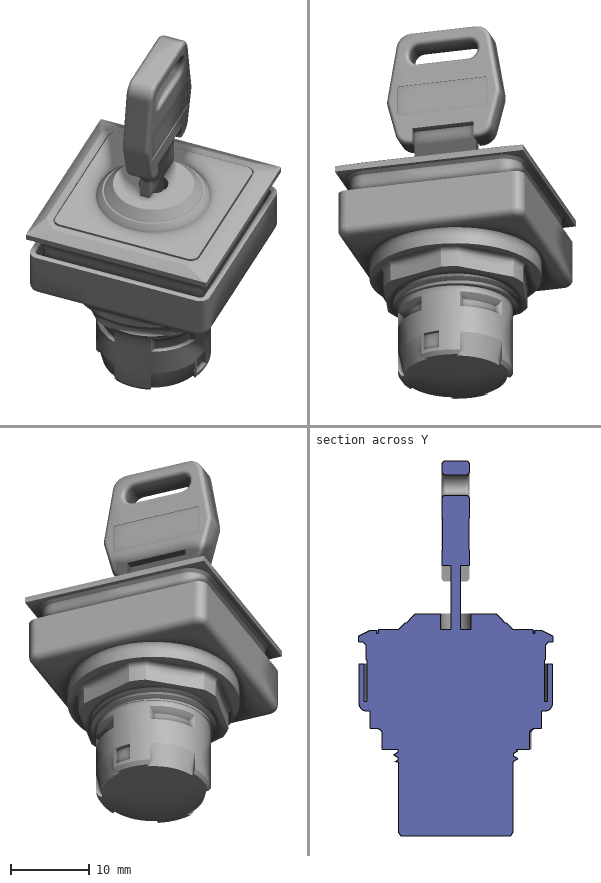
import cadquery as cq
import math

LOCK_TOP_Z = 28.4
LOCK_STEP_Z = 27.2
PANEL_TOP_Z = 26.4
BEZEL_TOP_Z = 26.25
PANEL_GROOVE_Z = 25.85
BEZEL_EDGE_Z = 25.53
BEZEL_BOTTOM_Z = 24.75
NECK_TOP_Z = 24.38
NECK_STEP_Z = 22.45
CUP_TOP_Z = 22.05
CUP_FLOOR_Z = 17.25
CUP_BOTTOM_Z = 15.95
FLANGE_BOTTOM_Z = 13.7
NUT_BOTTOM_Z = 11.05
KEY_TOP_Z = 47.9

BODY_RADIUS = 7.35
BODY_CHAMFER_HEIGHT = 0.55
BODY_CHAMFER_DEPTH = 0.35
CUT_CLEARANCE = 0.5
DIAGONALS = (45, 135, 225, 315)
POCKET_WIDTH = 6.15
WINDOW_FLOOR_WIDTH = 4.8
WINDOW_FLOOR_RADIUS = 6.7
WINDOW_BOTTOM_Z = 6.6
WINDOW_TOP_Z = 8.6
WINDOW_SLOPE_HEIGHT = 0.75
RAMP_TOP_Z = 3.0
RAMP_BOTTOM_RADIUS = 6.55
NOTCH_WIDTH = 2.2
NOTCH_CENTER_OFFSET = 1.2
NOTCH_BOTTOM_Z = 1.0
NOTCH_TOP_Z = 3.3
NOTCH_FLOOR_RADIUS = 6.7

THREAD_RADIUS = 16.0 / 2
THREAD_CORE_RADIUS = 7.4
THREAD_PITCH = 1.0
THREAD_BOTTOM_Z = 9.45
THREAD_TURNS = 3
THREAD_START_Z = 8.4
THREAD_RIDGE_HEIGHT = 0.75
THREAD_OVERLAP = 0.1

FLANGE_RADIUS = 22.0 / 2
NUT_CORNER_RADIUS = 19.5 / 2
NUT_ACROSS_FLATS = 17.85
NUT_TURN = 11.4
NUT_FILLET = 0.57

CUP_SIDE = 24.7
CUP_CORNER_RADIUS = 1.35
CUP_BOTTOM_FILLET = 1.0
CUP_WALL = 0.7
NECK_SIDE = 22.9
NECK_CORNER_RADIUS = 2.5
NECK_STEP = 0.1
NECK_FLARE = 0.4
BEZEL_SIDE = 24.9
BEZEL_TOP_SIDE = 22.05
BEZEL_TOP_CORNER_CUT = 1.8
BEZEL_EDGE_CORNER_CUT = 0.15
PANEL_SIDE = 19.75
PANEL_CORNER_RADIUS = 1.05
PANEL_GROOVE_WIDTH = 0.2

LOCK_BASE_RADIUS = BODY_RADIUS
LOCK_STEP_OUTER_RADIUS = 6.5
LOCK_STEP_INNER_RADIUS = 12.65 / 2
LOCK_TOP_RADIUS = 5.15
KEYHOLE_DIAMETER = 3.8
KEYHOLE_FLOOR_Z = PANEL_TOP_Z

KEY_Y = 1.2
KEY_THICKNESS = 3.6
KEY_BOTTOM_Z = 32.4
KEY_WAIST_Z = 38.5
KEY_END_WIDTH = 11.9
KEY_WAIST_WIDTH = 15.05
KEY_CORNER_RADIUS = 2.0
KEY_EDGE_FILLET = 0.55
KEY_HOLE_LENGTH = 9.05
KEY_HOLE_HEIGHT = 2.55
KEY_HOLE_Z = 44.8
LABEL_LENGTH = 12.05
LABEL_HEIGHT = 4.05
LABEL_CORNER_RADIUS = 0.5
LABEL_DEPTH = 0.1
BLADE_WIDTH = 8.15
BLADE_THICKNESS = 1.3
BLADE_TOP_Z = 34.5
BLADE_BOTTOM_Z = KEYHOLE_FLOOR_Z


def plane_at(z):
    return cq.Workplane("XY", origin=(0, 0, z))


def rounded_block(side, corner_radius, bottom, top):
    block = plane_at(bottom).rect(side, side).extrude(top - bottom)
    return block.edges("|Z").fillet(corner_radius)


def revolved(points):
    """Full turn about Z of a closed (radius, height) outline."""
    return cq.Workplane("XZ").polyline(points).close().revolve(360, (0, 0, 0), (0, 1, 0))


def body():
    shaft = plane_at(0).circle(BODY_RADIUS).extrude(FLANGE_BOTTOM_Z)
    return shaft.faces("<Z").edges().chamfer(BODY_CHAMFER_HEIGHT, BODY_CHAMFER_DEPTH)


def window_pocket():
    """Shallow pocket on +X with a round floor, a sloped top and splayed sides."""
    outside = BODY_RADIUS + CUT_CLEARANCE
    top_slope = WINDOW_SLOPE_HEIGHT / (BODY_RADIUS - WINDOW_FLOOR_RADIUS)
    ring = revolved([
        (WINDOW_FLOOR_RADIUS, WINDOW_BOTTOM_Z),
        (outside, WINDOW_BOTTOM_Z),
        (outside, WINDOW_TOP_Z + top_slope * CUT_CLEARANCE),
        (WINDOW_FLOOR_RADIUS, WINDOW_TOP_Z - WINDOW_SLOPE_HEIGHT),
    ])
    floor_half = WINDOW_FLOOR_WIDTH / 2
    rim_half = POCKET_WIDTH / 2
    floor_x = math.sqrt(WINDOW_FLOOR_RADIUS**2 - floor_half**2)
    rim_x = math.sqrt(BODY_RADIUS**2 - rim_half**2)
    splay = (rim_half - floor_half) / (rim_x - floor_x)
    mouth_half = floor_half + splay * (outside - floor_x)
    wedge_corners = [
        (floor_x, -floor_half), (outside, -mouth_half), (outside, mouth_half), (floor_x, floor_half),
    ]
    return ring.intersect(plane_at(0).polyline(wedge_corners).close().extrude(FLANGE_BOTTOM_Z))


def ramp_pocket():
    """Parallel-sided lead-in on +X whose conical floor gets deeper towards the lower end."""
    outside = BODY_RADIUS + CUT_CLEARANCE
    ring = revolved([
        (RAMP_BOTTOM_RADIUS, 0),
        (outside, 0),
        (outside, RAMP_TOP_Z),
        (BODY_RADIUS, RAMP_TOP_Z),
    ])
    slab = plane_at(0).center(BODY_RADIUS, 0).rect(BODY_RADIUS, POCKET_WIDTH).extrude(RAMP_TOP_Z)
    return ring.intersect(slab)


def cut_diagonal_pockets(solid):
    for pocket in (window_pocket(), ramp_pocket()):
        for angle in DIAGONALS:
            solid = solid.cut(pocket.rotate((0, 0, 0), (0, 0, 1), angle))
    return solid


def cut_side_notches(solid):
    height = NOTCH_TOP_Z - NOTCH_BOTTOM_Z
    for side in (-1, 1):
        block = (
            plane_at(NOTCH_BOTTOM_Z)
            .center(side * BODY_RADIUS, -side * NOTCH_CENTER_OFFSET)
            .rect(BODY_RADIUS, NOTCH_WIDTH).extrude(height)
        )
        floor = plane_at(NOTCH_BOTTOM_Z).circle(NOTCH_FLOOR_RADIUS).extrude(height)
        solid = solid.cut(block.cut(floor))
    return solid


def thread():
    """Right-handed ridge cut off flat at its lower end and running up into the nut."""
    root = THREAD_CORE_RADIUS - THREAD_OVERLAP
    half = THREAD_RIDGE_HEIGHT / 2
    path = cq.Wire.makeHelix(THREAD_PITCH, THREAD_PITCH * THREAD_TURNS, root)
    ridge = (
        cq.Workplane("XZ")
        .polyline([(root, -half), (THREAD_RADIUS, 0), (root, half)]).close()
        .sweep(cq.Workplane(path), isFrenet=True)
        .rotate((0, 0, 0), (0, 0, 1), 180).translate((0, 0, THREAD_START_Z))
    )
    height = FLANGE_BOTTOM_Z - THREAD_BOTTOM_Z
    core = plane_at(THREAD_BOTTOM_Z).circle(THREAD_CORE_RADIUS).extrude(height)
    room = plane_at(THREAD_BOTTOM_Z).circle(FLANGE_RADIUS).extrude(height)
    return ridge.intersect(room).union(core)


def flange_and_nut():
    """Hexagon nut with rounded corners, blended into the flange above it."""
    height = FLANGE_BOTTOM_Z - NUT_BOTTOM_Z
    corner_distance = NUT_ACROSS_FLATS / math.cos(math.pi / 6)
    hexagon = plane_at(NUT_BOTTOM_Z).polygon(6, corner_distance).extrude(height)
    corners = plane_at(NUT_BOTTOM_Z).circle(NUT_CORNER_RADIUS).extrude(height)
    nut = hexagon.intersect(corners).rotate((0, 0, 0), (0, 0, 1), NUT_TURN)
    flange = plane_at(FLANGE_BOTTOM_Z).circle(FLANGE_RADIUS).extrude(CUP_BOTTOM_Z - FLANGE_BOTTOM_Z)
    joint_floor = FLANGE_BOTTOM_Z - NUT_FILLET / 2
    reach = FLANGE_RADIUS
    joint = cq.selectors.BoxSelector((-reach, -reach, joint_floor), (reach, reach, CUP_BOTTOM_Z - NUT_FILLET))
    blend = nut.union(flange).edges(joint).filter(lambda edge: edge.Length() < NUT_ACROSS_FLATS)
    return blend.fillet(NUT_FILLET)


def cup():
    """Open-topped square cup around the foot of the neck."""
    outer = rounded_block(CUP_SIDE, CUP_CORNER_RADIUS, CUP_BOTTOM_Z, CUP_TOP_Z)
    outer = outer.faces("<Z").edges().fillet(CUP_BOTTOM_FILLET)
    inner = rounded_block(CUP_SIDE - 2 * CUP_WALL, CUP_CORNER_RADIUS - CUP_WALL, CUP_FLOOR_Z, CUP_TOP_Z)
    return outer.cut(inner)


def neck():
    """Square neck, slightly stepped in at its foot and flared out under the bezel."""
    upper = rounded_block(NECK_SIDE, NECK_CORNER_RADIUS, NECK_STEP_Z, NECK_TOP_Z)
    lower = rounded_block(
        NECK_SIDE - 2 * NECK_STEP, NECK_CORNER_RADIUS - NECK_STEP, CUP_FLOOR_Z, NECK_STEP_Z
    )
    flare_height = BEZEL_BOTTOM_Z - NECK_TOP_Z
    flare_angle = math.degrees(math.atan2(NECK_FLARE, flare_height))
    outline = cq.Sketch().rect(NECK_SIDE, NECK_SIDE).vertices().fillet(NECK_CORNER_RADIUS)
    flare = plane_at(NECK_TOP_Z).placeSketch(outline).extrude(flare_height, taper=-flare_angle)
    return upper.union(lower).union(flare)


def cut_corner_square(side, corner_cut):
    half = side / 2
    near = half - corner_cut
    return [
        (half, -near), (half, near), (near, half), (-near, half),
        (-half, near), (-half, -near), (-near, -half), (near, -half),
    ]


def bezel():
    """Square rim with a sloped upper face and corner facets, and a panel set in it behind a groove."""
    rim = plane_at(BEZEL_BOTTOM_Z).rect(BEZEL_SIDE, BEZEL_SIDE).extrude(BEZEL_EDGE_Z - BEZEL_BOTTOM_Z)
    slope = (
        plane_at(BEZEL_EDGE_Z)
        .polyline(cut_corner_square(BEZEL_SIDE, BEZEL_EDGE_CORNER_CUT)).close()
        .workplane(offset=BEZEL_TOP_Z - BEZEL_EDGE_Z)
        .polyline(cut_corner_square(BEZEL_TOP_SIDE, BEZEL_TOP_CORNER_CUT)).close()
        .loft(ruled=True)
    )
    opening_side = PANEL_SIDE + 2 * PANEL_GROOVE_WIDTH
    opening_radius = PANEL_CORNER_RADIUS + PANEL_GROOVE_WIDTH
    opening = rounded_block(opening_side, opening_radius, PANEL_GROOVE_Z, PANEL_TOP_Z)
    panel = rounded_block(PANEL_SIDE, PANEL_CORNER_RADIUS, PANEL_GROOVE_Z, PANEL_TOP_Z)
    return rim.union(slope).cut(opening).union(panel)


def lock():
    """Stepped cone with a round keyhole."""
    cone = revolved([
        (0, BEZEL_EDGE_Z),
        (LOCK_BASE_RADIUS, BEZEL_EDGE_Z),
        (LOCK_BASE_RADIUS, PANEL_TOP_Z),
        (LOCK_STEP_OUTER_RADIUS, LOCK_STEP_Z),
        (LOCK_STEP_INNER_RADIUS, LOCK_STEP_Z),
        (LOCK_TOP_RADIUS, LOCK_TOP_Z),
        (0, LOCK_TOP_Z),
    ])
    return cone.faces(">Z").workplane().hole(KEYHOLE_DIAMETER, LOCK_TOP_Z - KEYHOLE_FLOOR_Z)


def key_plane(x):
    return cq.Workplane("YZ", origin=(x, KEY_Y, 0))


def key_head():
    """Grip with a rounded outline, a ring hole, a label recess per face and a slot for the blade."""
    end = KEY_END_WIDTH / 2
    waist = KEY_WAIST_WIDTH / 2
    outline = [
        (end, KEY_TOP_Z), (waist, KEY_WAIST_Z), (end, KEY_BOTTOM_Z),
        (-end, KEY_BOTTOM_Z), (-waist, KEY_WAIST_Z), (-end, KEY_TOP_Z),
    ]
    face = KEY_THICKNESS / 2
    head = key_plane(-face).polyline(outline).close().extrude(KEY_THICKNESS)
    head = head.edges("|X").fillet(KEY_CORNER_RADIUS)
    hole = key_plane(-face).center(0, KEY_HOLE_Z).slot2D(KEY_HOLE_LENGTH, KEY_HOLE_HEIGHT)
    head = head.cut(hole.extrude(KEY_THICKNESS))
    head = head.faces("<X or >X").edges().fillet(KEY_EDGE_FILLET)
    for x in (-face, face - LABEL_DEPTH):
        label = key_plane(x).center(0, KEY_WAIST_Z).rect(LABEL_LENGTH, LABEL_HEIGHT).extrude(LABEL_DEPTH)
        head = head.cut(label.edges("|X").fillet(LABEL_CORNER_RADIUS))
    slot_height = 2 * (BLADE_TOP_Z - KEY_BOTTOM_Z)
    slot = key_plane(-face).center(0, KEY_BOTTOM_Z).rect(BLADE_WIDTH, slot_height)
    return head.cut(slot.extrude(KEY_THICKNESS))


def key_blade():
    height = BLADE_TOP_Z - BLADE_BOTTOM_Z
    middle = (BLADE_TOP_Z + BLADE_BOTTOM_Z) / 2
    blade = key_plane(-BLADE_THICKNESS / 2).center(0, middle).rect(BLADE_WIDTH, height)
    return blade.extrude(BLADE_THICKNESS)


LOCK_PARTS = (lock(), key_blade(), key_head())
HOUSING_PARTS = (thread(), flange_and_nut(), cup(), neck(), bezel())

result = cut_side_notches(cut_diagonal_pockets(body()))
for piece in HOUSING_PARTS + LOCK_PARTS:
    result = result.union(piece)